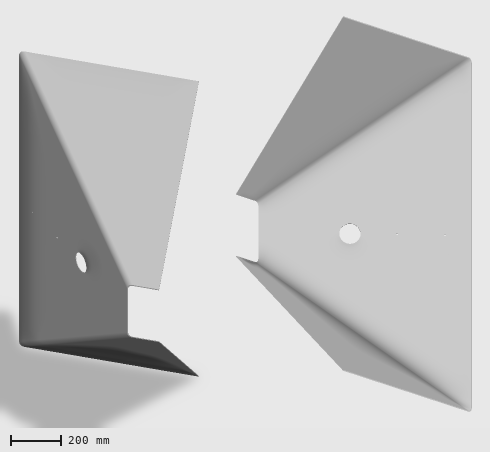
import cadquery as cq
import math

width = 740.0
depth = 586.0
height = 1480.0

thickness = 3.0
bend_radius = 33.0
front_land = 132.0

large_hole_diameter = 85.0
large_hole_place = 484.0
small_hole_diameter = 7.0
small_hole_places = (107.0, 296.0)

half_height = height / 2
run = width - front_land
plate_length = math.hypot(run, depth)
slope = run / depth
trace_offset = thickness * plate_length / depth


def rounded_wedge(inset, radius):
    """Wedge tapering toward -Y, its two sloping edges rounded; inset moves the sloping faces inward."""
    plan = (
        cq.Workplane("XY")
        .polyline([(inset, 0), (width, 0), (width, -depth), (run + inset, -depth)])
        .close()
        .extrude(half_height, both=True)
    )
    rear_half = half_height - inset
    front_half = rear_half - slope * depth
    profile = (
        cq.Workplane("YZ")
        .polyline([(0, -rear_half), (0, rear_half), (-depth, front_half), (-depth, -front_half)])
        .close()
        .extrude(width)
    )
    wedge = plan.intersect(profile)
    bend_edges = [
        edge for edge in wedge.edges().vals()
        if min(edge.BoundingBox().xlen, edge.BoundingBox().ylen, edge.BoundingBox().zlen) > depth / 2
    ]
    return wedge.newObject(bend_edges).fillet(radius)


def plate_hole(place, diameter):
    """Cylinder square to the upright plate, centred on its outer face."""
    direction = cq.Vector(depth, run, 0) / plate_length
    centre = cq.Vector(run, -depth, 0) * (place / plate_length)
    start = centre - direction * bend_radius
    return cq.Workplane(cq.Solid.makeCylinder(diameter / 2, 2 * bend_radius, start, direction))


result = rounded_wedge(0, bend_radius).cut(rounded_wedge(trace_offset, bend_radius - thickness))

result = result.cut(plate_hole(large_hole_place, large_hole_diameter))
for hole_place in small_hole_places:
    result = result.cut(plate_hole(hole_place, small_hole_diameter))